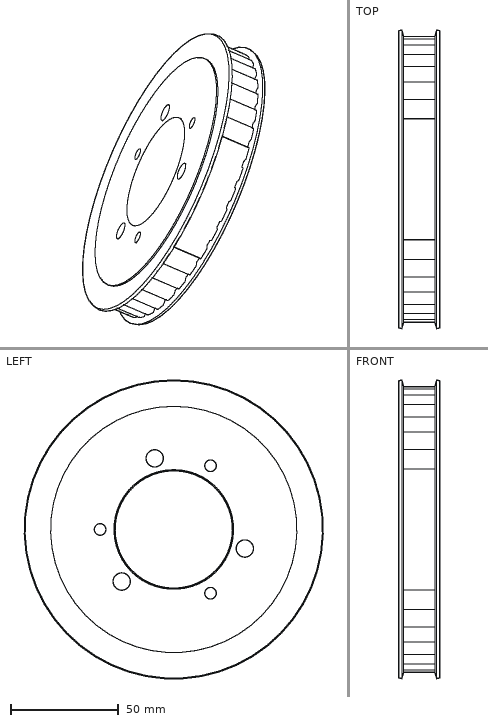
import math

import cadquery as cq

width = 19.2
flange_diameter = 139.0

tooth_count = 40
tooth_diameter = 132.9
groove_depth = 2.1
groove_bottom_width = 2.9
groove_wall_angle = 20.0
groove_fillet = 0.4

flange_thickness = 1.5
flange_bend_diameter = 133.2
lean_angle = 17.0

hub_diameter = 114.4
bore_diameter_wide = 55.6
bore_taper = 1 / 16

bolt_circle_diameter = 68.4
large_hole_diameter = 7.9
small_hole_diameter = 5.3
hole_count = 3
large_hole_angle = 75.0
small_hole_angle = 0.0

half_width = width / 2
flange_radius = flange_diameter / 2
hub_radius = hub_diameter / 2
tooth_radius = tooth_diameter / 2
wall_angle = math.radians(groove_wall_angle)
lean = math.radians(lean_angle)
rim_outer_radius = flange_radius - flange_thickness * math.sin(lean)
flange_bend_radius = flange_bend_diameter / 2
lean_offset = (rim_outer_radius - flange_bend_radius) * math.tan(lean)
flange_outer_face = half_width - lean_offset
flange_inner_face = flange_outer_face - flange_thickness


def make_hub():
    """Disc with a tapered bore and two sets of bolt holes."""
    bore_radius_wide = bore_diameter_wide / 2
    bore_radius_narrow = bore_radius_wide - width * bore_taper / 2
    hub = (
        cq.Workplane("XZ")
        .polyline([
            (-half_width, bore_radius_wide),
            (-half_width, hub_radius),
            (half_width, hub_radius),
            (half_width, bore_radius_narrow),
        ])
        .close()
        .revolve(360, (0, 0, 0), (1, 0, 0))
    )
    hole_sets = [
        (large_hole_diameter, large_hole_angle),
        (small_hole_diameter, small_hole_angle),
    ]
    for diameter, first_angle in hole_sets:
        holes = (
            cq.Workplane("YZ", origin=(-half_width, 0, 0))
            .polarArray(bolt_circle_diameter / 2, first_angle, 360, hole_count)
            .circle(diameter / 2)
            .extrude(width)
        )
        hub = hub.cut(holes)
    return hub


def midpoint_of_arc(center, start, end, radius):
    """Point halfway along the short arc from start to end."""
    toward_y = (start[0] + end[0]) / 2 - center[0]
    toward_z = (start[1] + end[1]) / 2 - center[1]
    scale = radius / math.hypot(toward_y, toward_z)
    return (center[0] + toward_y * scale, center[1] + toward_z * scale)


def groove_wall_arcs():
    """Two fillet arcs of the wall on the +Z side of the groove that lies on the +Y axis.

    Each arc is a (start, middle, end) triple of (y, z) points, from the groove bottom outward.
    """
    bottom_y = tooth_radius - groove_depth
    corner_z = groove_bottom_width / 2
    wall = (math.cos(wall_angle), math.sin(wall_angle))
    normal = (-wall[1], wall[0])

    setback = groove_fillet * math.tan((math.pi / 2 - wall_angle) / 2)
    bottom_center = (bottom_y + groove_fillet, corner_z - setback)
    bottom_start = (bottom_y, corner_z - setback)
    bottom_end = (bottom_y + setback * wall[0], corner_z + setback * wall[1])

    center_distance = tooth_radius - groove_fillet
    base = (bottom_y + groove_fillet * normal[0], corner_z + groove_fillet * normal[1])
    along = base[0] * wall[0] + base[1] * wall[1]
    across = base[0] * normal[0] + base[1] * normal[1]
    travel = math.sqrt(center_distance**2 - across**2) - along
    tip_center = (base[0] + travel * wall[0], base[1] + travel * wall[1])
    tip_start = (bottom_y + travel * wall[0], corner_z + travel * wall[1])
    outward = tooth_radius / center_distance
    tip_end = (tip_center[0] * outward, tip_center[1] * outward)

    return [
        (start, midpoint_of_arc(center, start, end, groove_fillet), end)
        for center, start, end in [
            (bottom_center, bottom_start, bottom_end),
            (tip_center, tip_start, tip_end),
        ]
    ]


def turned(point, angle):
    """Point (y, z) turned about the axis by an angle in radians."""
    y, z = point
    return (
        y * math.cos(angle) - z * math.sin(angle),
        y * math.sin(angle) + z * math.cos(angle),
    )


def mirrored(point):
    """Point (y, z) reflected to the other side of the groove."""
    return (point[0], -point[1])


def make_toothed_ring():
    """Ring between the flanges with filleted trapezoidal grooves around its rim."""
    pitch_angle = 2 * math.pi / tooth_count
    bottom_arc, tip_arc = groove_wall_arcs()
    falling_tip = [mirrored(point) for point in reversed(tip_arc)]
    falling_bottom = [mirrored(point) for point in reversed(bottom_arc)]

    outline = cq.Workplane("YZ", origin=(-flange_inner_face, 0, 0)).moveTo(*falling_tip[0])
    for i in range(tooth_count):
        groove_angle = i * pitch_angle
        for arc in (falling_tip, falling_bottom, bottom_arc, tip_arc):
            start, middle, end = [turned(point, groove_angle) for point in arc]
            if arc is not falling_tip:
                outline = outline.lineTo(*start)
            outline = outline.threePointArc(middle, end)
        land_middle = turned((tooth_radius, 0), groove_angle + pitch_angle / 2)
        land_end = turned(falling_tip[0], groove_angle + pitch_angle)
        outline = outline.threePointArc(land_middle, land_end)
    return outline.close().moveTo(0, 0).circle(hub_radius).extrude(2 * flange_inner_face)


def make_flange(side):
    """Ring with a leaning edge; side is -1 for the -X end and 1 for the +X end."""
    inner_bend_radius = flange_bend_radius + flange_thickness * math.tan(lean / 2)
    rim_inner_face = half_width - flange_thickness * math.cos(lean)
    profile = [
        (flange_outer_face, hub_radius),
        (flange_outer_face, flange_bend_radius),
        (half_width, rim_outer_radius),
        (rim_inner_face, flange_radius),
        (flange_inner_face, inner_bend_radius),
        (flange_inner_face, hub_radius),
    ]
    return (
        cq.Workplane("XZ")
        .polyline([(side * x, r) for x, r in profile])
        .close()
        .revolve(360, (0, 0, 0), (1, 0, 0))
    )


hub = make_hub()
toothed_ring = make_toothed_ring()
flanges = [make_flange(side) for side in (-1, 1)]

result = cq.Compound.makeCompound([
    hub.val(),
    toothed_ring.val(),
    *[flange.val() for flange in flanges],
])